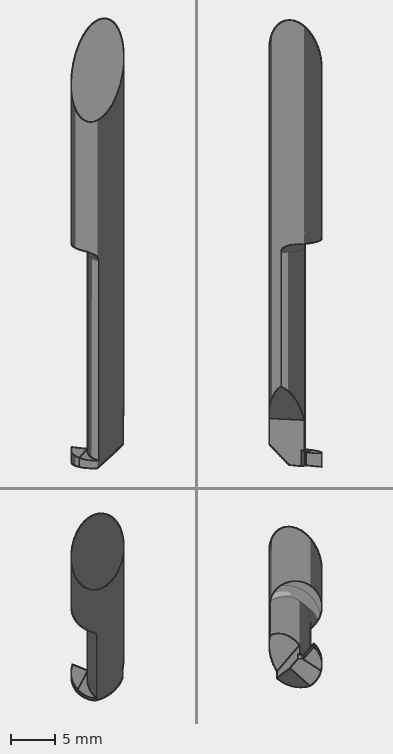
import cadquery as cq
import math

length = 52.45
radius = 3.0
slant_angle = 30.0

core_radius = 2.9
neck_left = -1.05
core_shift = neck_left + core_radius
neck_top = 26.45
neck_fillet = 1.05

flat_y = 0.25
relief_start = 5.45
heel_chamfer = 2.45
head_top = 1.6
head_front_top = 1.3
clearance_x = 0.05
clearance_y = 0.06

rake_y = -0.2
pocket_end = -1.2
pocket_runout = 0.3

seat_back = (-1.05, flat_y)
seat_front = (-1.3, -2.7)

slope = math.tan(math.radians(slant_angle))
span = 4 * radius


def side_prism(points):
    """Extrude a Y, Z outline through the whole bar along X."""
    return cq.Workplane("YZ").polyline(points).close().extrude(span / 2, both=True)


def make_cylinder():
    return cq.Workplane("XY").circle(radius).extrude(length)


def make_core():
    """Revolved core that flares into the shank with a concave fillet."""
    flare_start = neck_top - neck_fillet
    flare_radius = core_radius + neck_fillet
    middle = neck_fillet * math.sqrt(0.5)
    core = (
        cq.Workplane("XZ")
        .lineTo(core_radius, 0)
        .lineTo(core_radius, flare_start)
        .threePointArc((flare_radius - middle, flare_start + middle), (flare_radius, neck_top))
        .lineTo(span, neck_top)
        .lineTo(span, length)
        .lineTo(0, length)
        .close()
        .revolve(360, (0, 0, 0), (0, 1, 0))
    )
    return core.translate((core_shift, 0, 0))


def make_slanted_end():
    drop = 2 * radius / slope
    return side_prism([(radius, length), (-radius, length - drop), (-radius, length)])


def make_back_relief():
    relief_end = relief_start + (radius - flat_y) / slope
    return side_prism([(flat_y, 0), (flat_y, relief_start), (radius, relief_end), (radius, 0)])


def make_heel_cut():
    return (
        cq.Workplane("XZ")
        .polyline([(radius, 0), (radius, heel_chamfer), (radius - heel_chamfer, 0)])
        .close()
        .extrude(span / 2, both=True)
    )


def make_bottom_clearance():
    """Everything below the tilted bottom face, which is lowest at the cutting corner."""
    corner_x = -math.sqrt(radius**2 - rake_y**2)
    bottom = cq.Plane(
        origin=(corner_x, rake_y, 0),
        xDir=(1, 0, clearance_x),
        normal=(-clearance_x, clearance_y, 1),
    )
    return cq.Workplane(bottom).rect(2 * span, 2 * span).extrude(-span)


def make_chip_pocket():
    """Pocket behind the rake face, with a 45 degree wall and a sloping run-out."""
    depth = flat_y - rake_y
    plan = (
        cq.Workplane("XY")
        .polyline([
            (-span, rake_y),
            (pocket_end, rake_y),
            (pocket_end + depth, flat_y),
            (-span, flat_y),
        ])
        .close()
        .extrude(length)
    )
    runout = side_prism([
        (rake_y, 0),
        (rake_y, head_top),
        (flat_y, head_top + pocket_runout),
        (flat_y, 0),
    ])
    return plan.intersect(runout)


def make_head():
    """Round hook at the bottom of the bar, with a sloping top."""
    layer = side_prism([
        (flat_y, head_top),
        (-radius, head_front_top),
        (-radius, 0),
        (flat_y, 0),
    ])
    return layer.intersect(make_cylinder())


def make_tip_side():
    """Space on the -X side of the seat, where the cutting tip sits."""
    run = (seat_front[0] - seat_back[0]) / (seat_front[1] - seat_back[1])
    seat_end = (seat_front[0] + run * (-radius - seat_front[1]), -radius)
    return (
        cq.Workplane("XY")
        .polyline([seat_back, seat_end, (-radius, -radius), (-radius, flat_y)])
        .close()
        .extrude(head_top)
    )


def finish_cutting_end(body):
    return body.cut(make_chip_pocket()).cut(make_heel_cut()).cut(make_bottom_clearance())


def make_bar():
    bar = make_cylinder().intersect(make_core())
    bar = bar.cut(make_back_relief()).cut(make_slanted_end())
    bar = bar.union(make_head()).cut(make_tip_side())
    return finish_cutting_end(bar)


def make_cutting_tip():
    return finish_cutting_end(make_head().intersect(make_tip_side()))


bar = make_bar()
cutting_tip = make_cutting_tip()

result = cq.Compound.makeCompound([bar.val(), cutting_tip.val()])